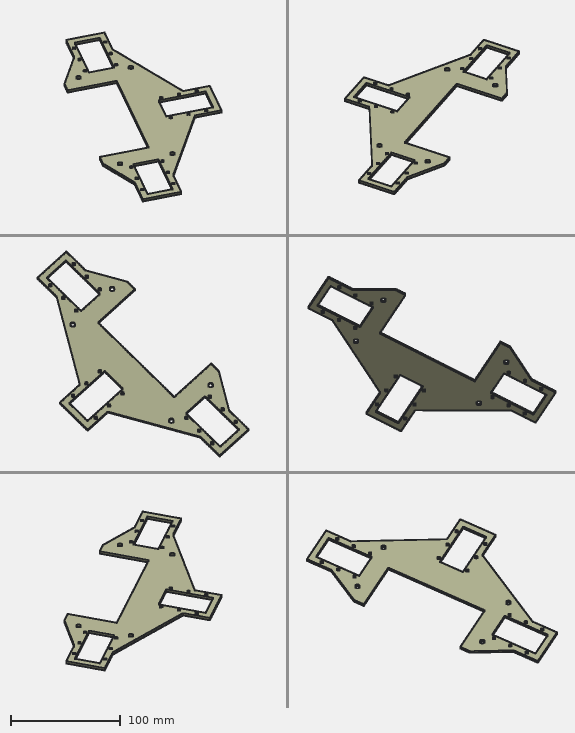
import cadquery as cq
import math

span = 240.0
depth = 126.0
thickness = 3.0

arm_width = 36.7
arm_length = 25.5
side_arm_y = -87.8
edge_angle = math.radians(30)

window_length = 45.0
window_width = 24.0
end_wall = 6.0
screw_diameter = 2.6
screw_pitch = 17.0
screw_row_offset = 15.0
screw_middle = 30.5

cutout_width = 100.3
cutout_depth = 46.8

mount_diameter = 4.3
mount_spacing_x = 129.8
mount_spacing_y = 50.0
mount_center_y = -86.2

half_span = span / 2
half_arm = arm_width / 2
shoulder_x = half_span - arm_length
side_arm_back = side_arm_y + half_arm
side_arm_front = side_arm_y - half_arm
back_shoulder_y = side_arm_back + (shoulder_x - half_arm) * math.tan(edge_angle)
leg_corner_x = shoulder_x - (side_arm_front + depth) / math.tan(edge_angle)


def make_plate():
    """Symmetric outline, drawn as its right half and mirrored."""
    half_outline = [
        (0, 0),
        (half_arm, 0),
        (half_arm, back_shoulder_y),
        (shoulder_x, side_arm_back),
        (half_span, side_arm_back),
        (half_span, side_arm_front),
        (shoulder_x, side_arm_front),
        (leg_corner_x, -depth),
        (cutout_width / 2, -depth),
        (cutout_width / 2, cutout_depth - depth),
        (0, cutout_depth - depth),
    ]
    half = cq.Workplane("XY").polyline(half_outline).close().extrude(thickness)
    return half.union(half.mirror("YZ")).clean()


def servo_cutter(end_x, end_y, angle):
    """Window and six screw holes, running inward from the middle of an arm end."""
    window = (
        cq.Workplane("XY")
        .center(end_wall + window_length / 2, 0)
        .rect(window_length, window_width)
        .extrude(thickness)
    )
    screw_points = [
        (screw_middle + step * screw_pitch, side * screw_row_offset)
        for step in (-1, 0, 1)
        for side in (-1, 1)
    ]
    screws = (
        cq.Workplane("XY")
        .pushPoints(screw_points)
        .circle(screw_diameter / 2)
        .extrude(thickness)
    )
    cutter = window.union(screws)
    return cutter.rotate((0, 0, 0), (0, 0, 1), angle).translate((end_x, end_y, 0))


def mount_cutter():
    """Four mounting holes on a rectangular pattern."""
    return (
        cq.Workplane("XY")
        .center(0, mount_center_y)
        .rarray(mount_spacing_x, mount_spacing_y, 2, 2)
        .circle(mount_diameter / 2)
        .extrude(thickness)
    )


arm_ends = [
    (0, 0, -90),
    (-half_span, side_arm_y, 0),
    (half_span, side_arm_y, 180),
]

plate = make_plate()
for end_x, end_y, inward_angle in arm_ends:
    plate = plate.cut(servo_cutter(end_x, end_y, inward_angle))
plate = plate.cut(mount_cutter())

result = plate.translate((0, depth / 2, -thickness / 2))